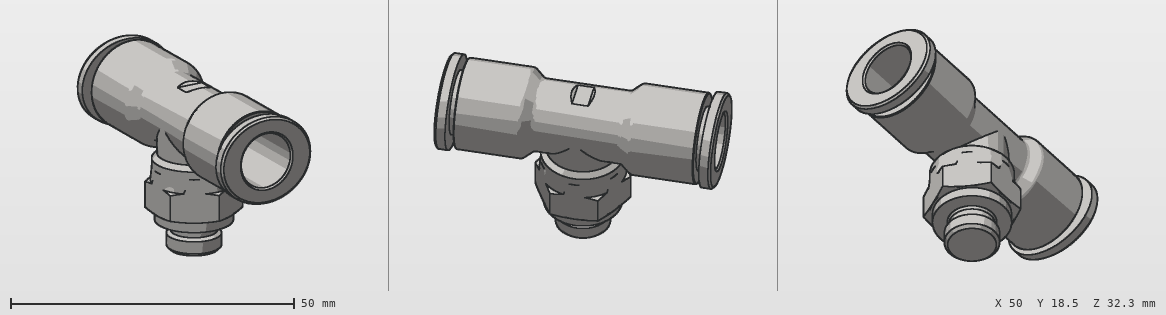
import cadquery as cq
import math

length = 50.0
pipe_radius = 6.55
body_radius = 8.2
body_end = 21.7
body_edge_chamfer = 0.15
taper_angle = math.radians(40)
taper_middle = 8.9
taper_fillet = 0.9
neck_radius = 5.8

collar_half_width = 9.25
collar_half_height = 8.05
collar_thickness = 2.05
collar_chamfer = 0.4
bore_radius = 5.05
bore_depth = 15.0
bore_chamfer = 0.35

recess_floor = 6.05
recess_floor_half_length = 1.45
recess_top_half_length = 2.05

shoulder_start = -6.2
hex_flats = 15.0
shoulder_radius = hex_flats / 2
shoulder_chamfer = shoulder_radius - pipe_radius
cone_start = -8.6
cone_radius = 7.75
hex_top = -11.25
hex_top_drop = 0.35
hex_bottom = -16.75
hex_bottom_rise = 0.375
seat_radius = 7.0
seat_bottom = -18.7
relief_radius = 4.15
relief_flare = 0.25
relief_flare_bottom = -19.25
relief_end = -20.7
thread_radius = 4.9
thread_start = -21.2
thread_chamfer = 0.6
branch_bottom = -24.05


def make_run_body():
    """Run pipe widening through a rounded taper into a push-in body at each end."""
    taper_half_length = (body_radius - pipe_radius) / math.tan(taper_angle) / 2
    taper_inner = taper_middle - taper_half_length
    taper_outer = taper_middle + taper_half_length
    run_body = (
        cq.Workplane("XZ")
        .polyline([
            (-body_end, 0),
            (-body_end, body_radius),
            (-taper_outer, body_radius),
            (-taper_inner, pipe_radius),
            (taper_inner, pipe_radius),
            (taper_outer, body_radius),
            (body_end, body_radius),
            (body_end, 0),
        ])
        .close()
        .revolve(360, (0, 0, 0), (1, 0, 0))
    )
    between_ends = cq.selectors.BoxSelector(
        (-taper_outer - 0.5, -body_radius - 0.5, -body_radius - 0.5),
        (taper_outer + 0.5, body_radius + 0.5, body_radius + 0.5),
    )
    run_body = run_body.edges("%CIRCLE").edges(between_ends).fillet(taper_fillet)
    return run_body.faces("<X or >X").edges().chamfer(body_edge_chamfer)


def make_release_collar():
    """Sleeve and oval collar standing out of the +X end of the run body."""
    collar_inner_face = length / 2 - collar_thickness
    sleeve = (
        cq.Workplane("YZ")
        .workplane(offset=body_end)
        .circle(neck_radius)
        .extrude(collar_inner_face - body_end)
    )
    collar = (
        cq.Workplane("YZ")
        .workplane(offset=collar_inner_face)
        .ellipse(collar_half_width, collar_half_height)
        .extrude(collar_thickness)
        .faces(">X")
        .edges()
        .chamfer(collar_chamfer)
    )
    return sleeve.union(collar)


def make_socket():
    """Blind tube socket entered from the +X end, with a chamfered mouth."""
    mouth = length / 2
    return (
        cq.Workplane("XY")
        .polyline([
            (mouth - bore_depth, 0),
            (mouth - bore_depth, bore_radius),
            (mouth - bore_chamfer, bore_radius),
            (mouth, bore_radius + bore_chamfer),
            (mouth, 0),
        ])
        .close()
        .revolve(360, (0, 0, 0), (1, 0, 0))
    )


def revolve_round_z(points):
    """Solid of revolution from (radius, height) points."""
    return cq.Workplane("XZ").polyline(points).close().revolve(360, (0, 0, 0), (0, 1, 0))


def make_branch_pipe():
    """Upright pipe whose top is mitred at 45 degrees to meet the run pipe."""
    upright = cq.Workplane("XY").circle(pipe_radius).extrude(shoulder_start)
    miter = (
        cq.Workplane("XZ")
        .polyline([(0, 0), (pipe_radius, -pipe_radius), (-pipe_radius, -pipe_radius)])
        .close()
        .extrude(pipe_radius, both=True)
    )
    return upright.intersect(miter)


def make_nut():
    """Hexagon with a conical crown on top and chamfered corners below."""
    corner_radius = shoulder_radius / math.cos(math.pi / 6)
    prism = (
        cq.Workplane("XY")
        .workplane(offset=hex_bottom)
        .polygon(6, 2 * corner_radius)
        .extrude(cone_start - hex_bottom)
    )
    envelope = revolve_round_z([
        (0, cone_start),
        (shoulder_radius, cone_start),
        (cone_radius, hex_top),
        (corner_radius, hex_top - hex_top_drop),
        (corner_radius, hex_bottom + hex_bottom_rise),
        (shoulder_radius, hex_bottom),
        (0, hex_bottom),
    ])
    return prism.intersect(envelope)


def make_shoulder():
    """Chamfered round shoulder between the branch pipe and the nut."""
    return revolve_round_z([
        (0, shoulder_start),
        (pipe_radius, shoulder_start),
        (shoulder_radius, shoulder_start - shoulder_chamfer),
        (shoulder_radius, cone_start),
        (0, cone_start),
    ])


def make_spigot():
    """Seat, relief groove and threaded end below the nut."""
    return revolve_round_z([
        (0, hex_bottom),
        (seat_radius, hex_bottom),
        (seat_radius, seat_bottom),
        (relief_radius + relief_flare, seat_bottom),
        (relief_radius, relief_flare_bottom),
        (relief_radius, relief_end),
        (thread_radius, thread_start),
        (thread_radius, branch_bottom + thread_chamfer),
        (thread_radius - thread_chamfer, branch_bottom),
        (0, branch_bottom),
    ])


def make_recess():
    """Flat-bottomed cutter with sloping end walls, across the top of the pipe."""
    return (
        cq.Workplane("XZ")
        .polyline([
            (-recess_floor_half_length, recess_floor),
            (recess_floor_half_length, recess_floor),
            (recess_top_half_length, pipe_radius),
            (-recess_top_half_length, pipe_radius),
        ])
        .close()
        .extrude(pipe_radius, both=True)
    )


collar = make_release_collar()
socket = make_socket()

result = make_run_body().union(collar).union(collar.mirror("YZ"))
for branch_piece in (make_branch_pipe(), make_shoulder(), make_nut(), make_spigot()):
    result = result.union(branch_piece)
result = result.cut(socket).cut(socket.mirror("YZ")).cut(make_recess())